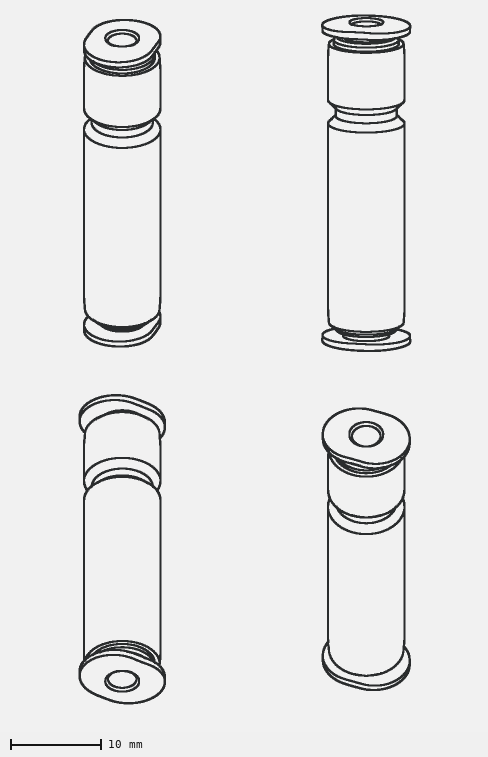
import math

import cadquery as cq

total_length = 36.8
body_radius = 8.5 / 2
half_length = total_length / 2

flange_length = 9.8
flange_width = 7.8
flange_thickness = 1.0
flange_cone_angle = 9.0

neck_radius = 5.17 / 2
ring_radius = 7.24 / 2
ring_chamfer = 0.35
ring_depth = 1.65

shoulder_radius = 8.3 / 2
shoulder_depth = 2.46
shoulder_end_depth = 4.0

groove_radius = 6.8 / 2
groove_depth = 8.9
groove_floor_width = 0.95

bore_radius = 3.17 / 2
bore_chamfer = 0.3
bore_depth = 8.0


def end_position(depth, end):
    """Z of a point at the given depth below the upper (+1) or lower (-1) end."""
    return end * (half_length - depth)


def make_body():
    """Plain cylinder between the two rounded shoulders."""
    straight_length = total_length - 2 * shoulder_end_depth
    start = end_position(shoulder_end_depth, -1)
    return cq.Workplane("XY", origin=(0, 0, start)).circle(body_radius).extrude(straight_length)


def make_end_profile(end):
    """Neck, chamfered ring and rounded shoulder, turned about Z."""
    shoulder_height = shoulder_end_depth - shoulder_depth
    inset = body_radius - shoulder_radius
    arc_radius = (shoulder_height**2 + inset**2) / (2 * inset)
    half_height = shoulder_height / 2
    middle_inset = arc_radius - math.sqrt(arc_radius**2 - half_height**2)
    middle_depth = shoulder_end_depth - half_height
    return (
        cq.Workplane("XZ")
        .moveTo(0, end_position(flange_thickness, end))
        .lineTo(neck_radius, end_position(flange_thickness, end))
        .lineTo(neck_radius, end_position(ring_depth, end))
        .lineTo(ring_radius - ring_chamfer, end_position(ring_depth, end))
        .lineTo(ring_radius, end_position(ring_depth + ring_chamfer, end))
        .lineTo(ring_radius, end_position(shoulder_depth, end))
        .lineTo(shoulder_radius, end_position(shoulder_depth, end))
        .threePointArc(
            (body_radius - middle_inset, end_position(middle_depth, end)),
            (body_radius, end_position(shoulder_end_depth, end)),
        )
        .lineTo(0, end_position(shoulder_end_depth, end))
        .close()
        .revolve(360, (0, 0, 0), (0, 1, 0))
    )


def make_flange(end):
    """Oval plate, long along Y, trimmed by a cone on its outer face."""
    plate = (
        cq.Workplane("XY", origin=(0, 0, end_position(flange_thickness, end)))
        .slot2D(flange_length, flange_width, 90)
        .extrude(end * flange_thickness)
    )
    cone_radius = flange_length
    cone_drop = (cone_radius - neck_radius) * math.tan(math.radians(flange_cone_angle))
    cone = (
        cq.Workplane("XZ")
        .moveTo(0, end_position(0, end))
        .lineTo(neck_radius, end_position(0, end))
        .lineTo(cone_radius, end_position(cone_drop, end))
        .lineTo(cone_radius, end_position(cone_drop + flange_thickness, end))
        .lineTo(0, end_position(cone_drop + flange_thickness, end))
        .close()
        .revolve(360, (0, 0, 0), (0, 1, 0))
    )
    return plate.intersect(cone)


def make_groove():
    """Ring-shaped cutter with a flat floor and 45 degree flanks."""
    flank = body_radius - groove_radius
    floor_depth = groove_depth + flank
    floor_end_depth = floor_depth + groove_floor_width
    return (
        cq.Workplane("XZ")
        .moveTo(body_radius, end_position(groove_depth, 1))
        .lineTo(groove_radius, end_position(floor_depth, 1))
        .lineTo(groove_radius, end_position(floor_end_depth, 1))
        .lineTo(body_radius, end_position(floor_end_depth + flank, 1))
        .close()
        .revolve(360, (0, 0, 0), (0, 1, 0))
    )


def make_bore(end):
    """Blind bore cutter with a chamfered mouth."""
    return (
        cq.Workplane("XZ")
        .moveTo(0, end_position(0, end))
        .lineTo(bore_radius + bore_chamfer, end_position(0, end))
        .lineTo(bore_radius, end_position(bore_chamfer, end))
        .lineTo(bore_radius, end_position(bore_depth, end))
        .lineTo(0, end_position(bore_depth, end))
        .close()
        .revolve(360, (0, 0, 0), (0, 1, 0))
    )


result = make_body().cut(make_groove())
for end in (1, -1):
    result = result.union(make_end_profile(end)).union(make_flange(end))
    result = result.cut(make_bore(end))